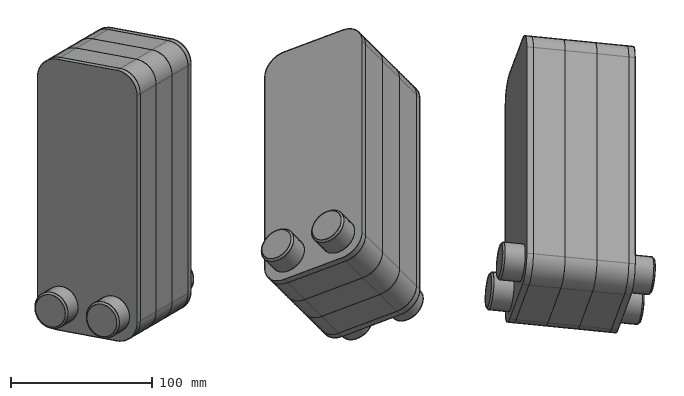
import cadquery as cq

width = 81.0
height = 203.0
corner_radius = 16.2
overall_depth = 110.0

cover_thickness = 4.7
core_thickness = 23.0
core_count = 3
stack_depth = 2 * cover_thickness + core_count * core_thickness

stub_diameter = 27.0
stub_length = (overall_depth - stack_depth) / 2
stub_chamfer = 1.5
stub_spacing = 41.8
stub_height_above_bottom = 19.7
stub_z = stub_height_above_bottom - height / 2


def make_plate(thickness, front_y):
    """Rounded rectangular plate whose front (-Y) face lies at front_y."""
    return (
        cq.Workplane("XY")
        .box(width, thickness, height)
        .edges("|Y")
        .fillet(corner_radius)
        .translate((0, front_y + thickness / 2, 0))
    )


def make_stub(x, side):
    """Round stub on the front (side = -1) or back (side = 1) face, chamfered at its free end."""
    stub = cq.Workplane("XY").circle(stub_diameter / 2).extrude(stub_length)
    stub = stub.faces(">Z").chamfer(stub_chamfer)
    stub = stub.rotate((0, 0, 0), (1, 0, 0), -90 * side)
    return stub.translate((x, side * stack_depth / 2, stub_z))


front_cover = make_plate(cover_thickness, -stack_depth / 2)
back_cover = make_plate(cover_thickness, stack_depth / 2 - cover_thickness)

first_core_y = -stack_depth / 2 + cover_thickness
cores = [make_plate(core_thickness, first_core_y + i * core_thickness) for i in range(core_count)]

stubs = [make_stub(x, side) for side in (-1, 1) for x in (-stub_spacing / 2, stub_spacing / 2)]

result = cq.Compound.makeCompound(
    [
        front_cover.val(),
        *[core.val() for core in cores],
        back_cover.val(),
        *[stub.val() for stub in stubs],
    ]
)